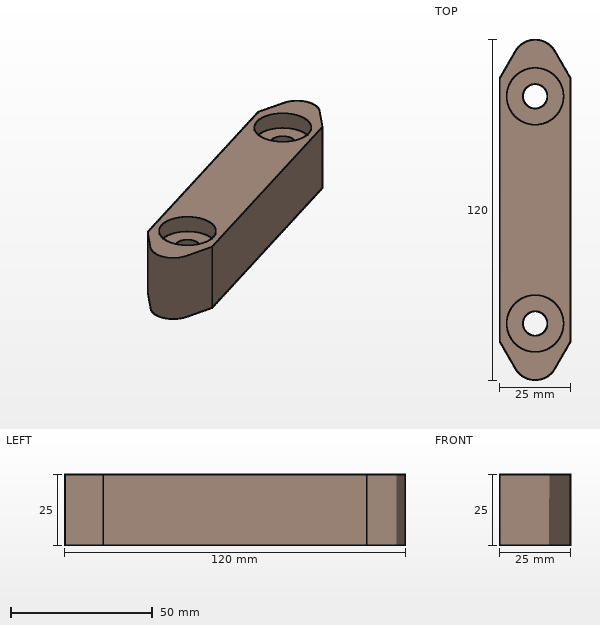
import cadquery as cq
import math

length = 120.0
width = 25.0
height = 25.0

nose_radius = 8.0
flank_angle = math.radians(30)

hole_spacing = 80.0
hole_diameter = 8.5
counterbore_diameter = 20.0
counterbore_depth = 6.0

half_width = width / 2
nose_tip_y = length / 2
nose_center_y = nose_tip_y - nose_radius
tangent_x = nose_radius * math.cos(flank_angle)
tangent_y = nose_center_y + nose_radius * math.sin(flank_angle)
shoulder_y = tangent_y - (half_width - tangent_x) / math.tan(flank_angle)


def make_body():
    """Extrude the bar outline, with a rounded point at each end."""
    return (
        cq.Workplane("XY")
        .moveTo(half_width, -shoulder_y)
        .lineTo(half_width, shoulder_y)
        .lineTo(tangent_x, tangent_y)
        .threePointArc((0, nose_tip_y), (-tangent_x, tangent_y))
        .lineTo(-half_width, shoulder_y)
        .lineTo(-half_width, -shoulder_y)
        .lineTo(-tangent_x, -tangent_y)
        .threePointArc((0, -nose_tip_y), (tangent_x, -tangent_y))
        .close()
        .extrude(height)
    )


def cut_holes(body):
    """Cut the two through holes, counterbored from the top."""
    return (
        body.faces(">Z")
        .workplane(origin=(0, 0, height))
        .pushPoints([(0, -hole_spacing / 2), (0, hole_spacing / 2)])
        .cboreHole(hole_diameter, counterbore_diameter, counterbore_depth)
    )


result = cut_holes(make_body())